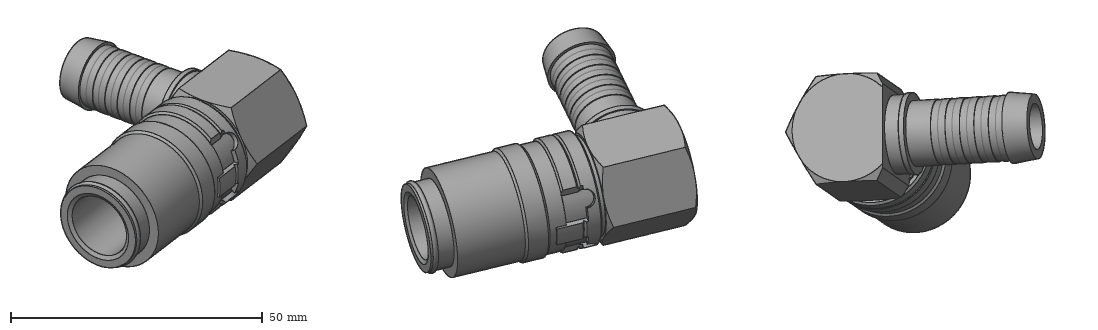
import cadquery as cq
import math


HEX_HALF_LENGTH = 9.6
HEX_CORNER_RADIUS = 12.65
HEX_CHAMFER_START_RADIUS = 11.0
HEX_CHAMFER_ANGLE = 30
HOSE_FACE_X = -7.7
HOSE_FACE_END_Y = -10.1

NECK_RADIUS = 10.45
RING_DIAMETER = 23.5
RING_RADIUS = RING_DIAMETER / 2
SLEEVE_RADIUS = 11.25
GROOVE_RADIUS = 11.2
RING_CHAMFER = 0.4
RING_3_CHAMFER = 0.55
RING_1 = (-10.55, -14.3)
RING_2 = (-14.3, -18.05)
RING_3 = (-21.5, -26.8)
SLEEVE_END_Y = -41.0
SPIGOT_RADIUS = 9.1
SPIGOT_END_Y = -45.9
BEAD_CENTER_Y = -44.85
BEAD_HALF_WIDTH = 0.55
BEAD_HEIGHT = 0.4

BORE_RADIUS = 4.6
BORE_END_Y = BORE_RADIUS
SOCKET_RADIUS = 6.6
MOUTH_RADIUS = 7.45
MOUTH_DEPTH = 0.5

HOSE_RADIUS = 6.6
HOSE_END_X = -36.8
TIP_RADIUS = 6.5
CREST_RADIUS = 7.15
CREST_X = -31.8
TOOTH_COUNT = 5
TOOTH_PITCH = 3.0
TOOTH_DROP = 0.15
COLLAR_RADIUS = 8.2
COLLAR_START_X = -11.7
COLLAR_END_X = -10.6
SHOULDER_RADIUS = 7.95

LATCH_FLOOR_RADIUS = 10.65
LATCH_HALF_WIDTH = 2.2
RECESS_START_X = 7.75
RECESS_TOP_Y = -13.5
ARCH_ANGLE = 35
ARCH_RADIUS = 1.9
ARCH_CENTER_Y = -13.4
BUTTON_TOP_Y = -16.15
BUTTON_BOTTOM_Y = -20.2


def cylinder_y(radius, start_y, end_y):
    """Cylinder on the Y axis running from start_y down to end_y."""
    plane = cq.Workplane("XZ", origin=(0, start_y, 0))
    return plane.circle(radius).extrude(start_y - end_y)


def hexagon_body():
    """Hexagon along Y with a corner on +X and conical chamfers on both ends."""
    hexagon = (
        cq.Workplane("XZ", origin=(0, HEX_HALF_LENGTH, 0))
        .polygon(6, 2 * HEX_CORNER_RADIUS)
        .extrude(2 * HEX_HALF_LENGTH)
    )
    chamfer_width = HEX_CORNER_RADIUS - HEX_CHAMFER_START_RADIUS
    side_y = HEX_HALF_LENGTH - chamfer_width * math.tan(math.radians(HEX_CHAMFER_ANGLE))
    envelope = (
        cq.Workplane("XY")
        .moveTo(0, HEX_HALF_LENGTH)
        .lineTo(HEX_CHAMFER_START_RADIUS, HEX_HALF_LENGTH)
        .lineTo(HEX_CORNER_RADIUS, side_y)
        .lineTo(HEX_CORNER_RADIUS, -side_y)
        .lineTo(HEX_CHAMFER_START_RADIUS, -HEX_HALF_LENGTH)
        .lineTo(0, -HEX_HALF_LENGTH)
        .close()
        .revolve(360, (0, 0, 0), (0, 1, 0))
    )
    return hexagon.intersect(envelope)


def ring(span, chamfer):
    """Raised ring on the sleeve, sloping down to the groove radius at both ends."""
    start_y, end_y = span
    return (
        cq.Workplane("XY")
        .moveTo(0, start_y)
        .lineTo(GROOVE_RADIUS, start_y)
        .lineTo(RING_RADIUS, start_y - chamfer)
        .lineTo(RING_RADIUS, end_y + chamfer)
        .lineTo(GROOVE_RADIUS, end_y)
        .lineTo(0, end_y)
        .close()
        .revolve(360, (0, 0, 0), (0, 1, 0))
    )


def spigot():
    """Reduced open end with a rounded bead around it."""
    return (
        cq.Workplane("XY")
        .moveTo(0, SLEEVE_END_Y)
        .lineTo(SPIGOT_RADIUS, SLEEVE_END_Y)
        .lineTo(SPIGOT_RADIUS, BEAD_CENTER_Y + BEAD_HALF_WIDTH)
        .threePointArc(
            (SPIGOT_RADIUS + BEAD_HEIGHT, BEAD_CENTER_Y),
            (SPIGOT_RADIUS, BEAD_CENTER_Y - BEAD_HALF_WIDTH),
        )
        .lineTo(SPIGOT_RADIUS, SPIGOT_END_Y)
        .lineTo(0, SPIGOT_END_Y)
        .close()
        .revolve(360, (0, 0, 0), (0, 1, 0))
    )


def latch_recess():
    """Shallow pockets on both sides of the latch tongue, each with an arched relief in ring 1."""
    recess = (
        cq.Workplane("XY")
        .box(RING_RADIUS, RECESS_TOP_Y - RING_2[1], 2 * RING_RADIUS,
             centered=(False, False, True))
        .translate((RECESS_START_X, RING_2[1], 0))
    )
    for side in (1, -1):
        arch = (
            cq.Workplane("YZ")
            .center(ARCH_CENTER_Y, 0)
            .circle(ARCH_RADIUS)
            .extrude(2 * RING_RADIUS)
            .rotate((0, 0, 0), (0, 1, 0), -side * ARCH_ANGLE)
        )
        recess = recess.union(arch)
    tongue = (
        cq.Workplane("XY")
        .box(2 * RING_RADIUS, 2 * RING_RADIUS, 2 * LATCH_HALF_WIDTH)
        .translate((RECESS_START_X + RING_RADIUS, RING_2[1], 0))
    )
    floor = cylinder_y(LATCH_FLOOR_RADIUS, 0, SLEEVE_END_Y)
    return recess.cut(tongue).cut(floor)


def latch_button():
    """Block on the +X side that fills the sleeve out to the ring radius."""
    block = (
        cq.Workplane("XY")
        .box(RING_RADIUS, BUTTON_TOP_Y - BUTTON_BOTTOM_Y, 2 * LATCH_HALF_WIDTH,
             centered=(False, False, True))
        .translate((RECESS_START_X, BUTTON_BOTTOM_Y, 0))
    )
    return block.intersect(cylinder_y(RING_RADIUS, BUTTON_TOP_Y, BUTTON_BOTTOM_Y))


def hose_barb():
    """Hose stem with a barbed tip, shallow saw teeth, a collar and a shoulder."""
    profile = (
        cq.Workplane("XY")
        .moveTo(0, 0)
        .lineTo(HOSE_END_X, 0)
        .lineTo(HOSE_END_X, TIP_RADIUS)
        .lineTo(CREST_X, CREST_RADIUS)
        .lineTo(CREST_X, HOSE_RADIUS)
    )
    for tooth in range(TOOTH_COUNT):
        tooth_end_x = CREST_X + (tooth + 1) * TOOTH_PITCH
        profile = (
            profile.lineTo(tooth_end_x - TOOTH_PITCH / 2, HOSE_RADIUS)
            .lineTo(tooth_end_x, HOSE_RADIUS - TOOTH_DROP)
            .lineTo(tooth_end_x, HOSE_RADIUS)
        )
    return (
        profile.lineTo(COLLAR_START_X, HOSE_RADIUS)
        .lineTo(COLLAR_START_X, COLLAR_RADIUS)
        .lineTo(COLLAR_END_X, COLLAR_RADIUS)
        .lineTo(COLLAR_END_X, SHOULDER_RADIUS)
        .lineTo(0, SHOULDER_RADIUS)
        .close()
        .revolve(360, (0, 0, 0), (1, 0, 0))
    )


def bores():
    """Wide socket with a flared mouth, stepping down to a bore that turns into the hose stem."""
    socket = (
        cq.Workplane("XY")
        .moveTo(0, BORE_END_Y)
        .lineTo(BORE_RADIUS, BORE_END_Y)
        .lineTo(BORE_RADIUS, -HEX_HALF_LENGTH)
        .lineTo(SOCKET_RADIUS, -HEX_HALF_LENGTH)
        .lineTo(SOCKET_RADIUS, SPIGOT_END_Y + MOUTH_DEPTH)
        .lineTo(MOUTH_RADIUS, SPIGOT_END_Y)
        .lineTo(0, SPIGOT_END_Y)
        .close()
        .revolve(360, (0, 0, 0), (0, 1, 0))
    )
    hose_bore = cq.Workplane("YZ").circle(BORE_RADIUS).extrude(HOSE_END_X)
    return socket.union(hose_bore)


body = hexagon_body().union(cylinder_y(NECK_RADIUS, 0, RING_1[0]))
flat_cut = (
    cq.Workplane("XY")
    .box(HEX_CORNER_RADIUS, HEX_HALF_LENGTH - HOSE_FACE_END_Y, 2 * HEX_CORNER_RADIUS,
         centered=(False, False, True))
    .translate((HOSE_FACE_X - HEX_CORNER_RADIUS, HOSE_FACE_END_Y, 0))
)
body = body.cut(flat_cut)

sleeve = cylinder_y(SLEEVE_RADIUS, RING_2[1], SLEEVE_END_Y)
sleeve = sleeve.union(ring(RING_1, RING_CHAMFER)).union(ring(RING_2, RING_CHAMFER))
sleeve = sleeve.union(ring(RING_3, RING_3_CHAMFER)).union(spigot())
sleeve = sleeve.cut(latch_recess()).union(latch_button())

result = body.union(sleeve).union(hose_barb()).cut(bores())